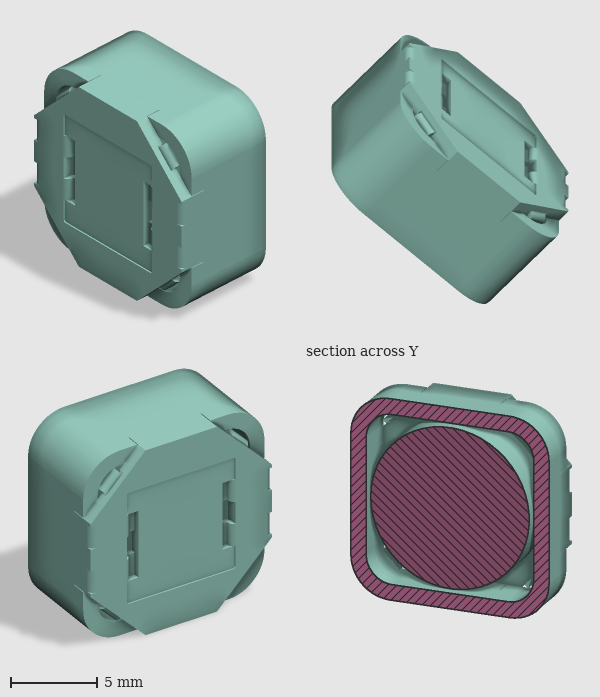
import cadquery as cq
import math


width = 12.5
corner_radius = 2.5
floor_thickness = 1.0
wall = 1.0
cavity_radius = 1.6
shield_length = 5.9
slot_clearance = 0.05

base_thickness = 0.8
corner_cut = 3.79
tab_depth = 0.96
pocket_side = 7.5
pocket_depth = 0.1
pocket_chamfer = 0.1

strap_width = 1.5
inner_bend = 0.1
strap_spacing = 3.0
notch_clearance = 0.1
hook_reach = 0.3
hook_tail = 0.5
window_length = 0.85

core_radius = 5.0

half_width = width / 2
cavity_side = width - 2 * wall
tab_width = width - 2 * corner_cut
outer_bend = base_thickness / 2
strap_thickness = outer_bend - inner_bend
strap_z = strap_spacing / 2
window_outer = pocket_side / 2
window_inner = window_outer - window_length
window_height = strap_spacing + strap_width
notch_length = outer_bend - hook_reach
foot_front = base_thickness - strap_thickness
corner_distance = (width - corner_cut) / math.sqrt(2)
elbow_distance = strap_z * math.sqrt(2)
SIDES = (1, -1)


def block(x_range, y_range, z_range):
    """Box between the given limits along each axis."""
    sizes = [high - low for low, high in (x_range, y_range, z_range)]
    corner = (x_range[0], y_range[0], z_range[0])
    return cq.Workplane("XY").box(*sizes, centered=False).translate(corner)


def square_prism(side, y_start, y_end):
    """Square bar centred on the Y axis."""
    half = side / 2
    return block((-half, half), (y_start, y_end), (-half, half))


def turned_about_y(body, angle):
    return body.rotate((0, 0, 0), (0, 1, 0), angle)


def mirrored_to(body, x_side, z_side):
    """Move a body from the +X +Z quarter to the quarter with the given signs."""
    if x_side < 0:
        body = body.mirror("YZ")
    if z_side < 0:
        body = body.mirror("XY")
    return body


def side_block(block_width):
    """Block in the middle of the +Z wall, covering the depth of a base tab."""
    half = block_width / 2
    return block((-half, half), (base_thickness, base_thickness + tab_depth), (half_width - wall, half_width))


def make_shield():
    """Square cup with rounded corners, open toward the base and slotted for its tabs."""
    back = base_thickness + shield_length
    outer = square_prism(width, base_thickness, back).edges("|Y").fillet(corner_radius)
    cavity = square_prism(cavity_side, base_thickness, back - floor_thickness)
    shield = outer.cut(cavity.edges("|Y").fillet(cavity_radius))
    for quarter in range(4):
        shield = shield.cut(turned_about_y(side_block(tab_width + 2 * slot_clearance), 90 * quarter))
    return shield


def make_core():
    """Plain round core between the base and the floor of the shield."""
    length = shield_length - floor_thickness
    return cq.Workplane("XZ", origin=(0, base_thickness, 0)).circle(core_radius).extrude(-length)


def strap_section():
    """Side profile of a strap: outer leg, front run, inward step and the start of the foot."""
    leg_inner = half_width - strap_thickness
    step_outer = window_outer
    step_inner = step_outer - strap_thickness
    middle = base_thickness / 2
    path = cq.Workplane("XY").moveTo(leg_inner, base_thickness).lineTo(half_width, base_thickness)
    path = path.lineTo(half_width, outer_bend)
    path = path.radiusArc((half_width - outer_bend, 0), outer_bend)
    path = path.lineTo(step_inner + outer_bend, 0)
    path = path.radiusArc((step_inner, middle), outer_bend)
    path = path.radiusArc((step_inner - inner_bend, foot_front), -inner_bend)
    path = path.lineTo(strap_z, foot_front).lineTo(strap_z, base_thickness)
    path = path.lineTo(step_outer - outer_bend, base_thickness)
    path = path.radiusArc((step_outer, middle), outer_bend)
    path = path.radiusArc((step_outer + inner_bend, strap_thickness), -inner_bend)
    path = path.lineTo(leg_inner - inner_bend, strap_thickness)
    path = path.radiusArc((leg_inner, outer_bend), -inner_bend)
    return path.close()


def make_diagonal_tail():
    """Flat arm to the cut corner with its end bent back, drawn along +X and turned to 45 degrees."""
    tip = corner_distance + hook_reach
    hook_end = base_thickness + hook_tail
    half = strap_width / 2
    arm = block((elbow_distance, tip), (foot_front, hook_end), (-half, half))
    arm = arm.edges("|Z").edges("<Y and >X").fillet(outer_bend)
    under_hook = block((0, tip - strap_thickness), (base_thickness, hook_end), (-half, half))
    return turned_about_y(arm.cut(under_hook), -45)


def make_terminal(x_side, z_side):
    strap = strap_section().extrude(strap_width).translate((0, 0, strap_z - strap_width / 2))
    terminal = strap.union(make_diagonal_tail())
    return mirrored_to(terminal, x_side, z_side)


def make_base_blank():
    """Octagonal plate with four side tabs and a shallow square pocket in its mounting face."""
    plate = square_prism(width, 0, base_thickness).edges("|Y").chamfer(corner_cut)
    for quarter in range(4):
        plate = plate.union(turned_about_y(side_block(tab_width), 90 * quarter))
    pocket = square_prism(pocket_side, 0, pocket_depth).edges("|Y").chamfer(pocket_chamfer)
    return plate.cut(pocket)


def window_cut(x_side):
    """Opening through the base where both straps of one side step down."""
    half = window_height / 2
    window = block((window_inner, window_outer), (0, base_thickness), (-half, half))
    return mirrored_to(window, x_side, 1)


def notch_cut():
    """Notch in the cut corner that leaves room around the hook."""
    half = strap_width / 2 + notch_clearance
    depths = (foot_front - notch_clearance, base_thickness)
    notch = block((corner_distance - notch_length, half_width), depths, (-half, half))
    return turned_about_y(notch, -45)


def strap_cut():
    """Square-cornered recess along the front run and the outer leg of a strap."""
    z_range = (strap_z - strap_width / 2, strap_z + strap_width / 2)
    front_run = block((window_outer, half_width), (0, strap_thickness), z_range)
    leg = block((half_width - strap_thickness, half_width), (0, base_thickness), z_range)
    return front_run.union(leg)


def make_base(terminals):
    """Base with windows and channels, recessed to fit the terminals."""
    base = make_base_blank()
    for x_side in SIDES:
        base = base.cut(window_cut(x_side))
        for z_side in SIDES:
            for recess in (notch_cut(), strap_cut()):
                base = base.cut(mirrored_to(recess, x_side, z_side))
    for terminal in terminals:
        base = base.cut(terminal)
    return base


shield = make_shield()
core = make_core()
terminals = [make_terminal(x_side, z_side) for x_side in SIDES for z_side in SIDES]
base = make_base(terminals)

result = cq.Compound.makeCompound(
    [shield.val(), core.val(), base.val(), *[terminal.val() for terminal in terminals]]
)